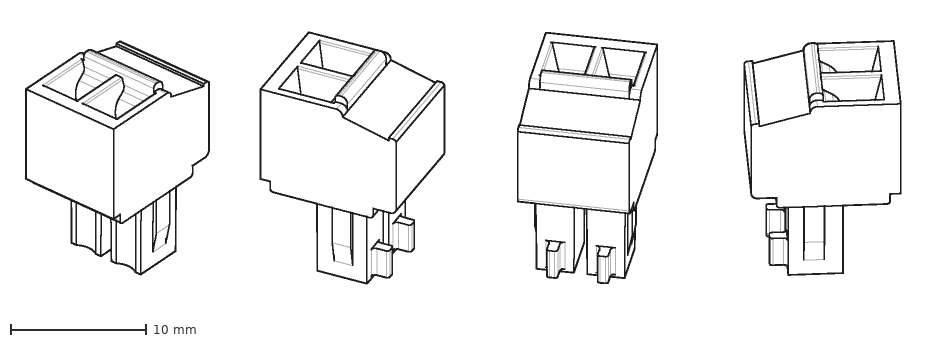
import cadquery as cq
import math


WIDTH = 8.4
DEPTH = 11.1
HEIGHT = 16.1
POLE_PITCH = 3.82
POLE_PLACES = (-POLE_PITCH / 2, POLE_PITCH / 2)

LEG_LENGTH = 6.6
STEP_HEIGHT = 0.89
SHOULDER_Z = LEG_LENGTH + STEP_HEIGHT
FRONT_STEP_Y = 0.79
BACK_STEP_Y = 9.21
STEP_ROUND = 0.27
TOP_Z = 15.47
TOP_END_Y = 6.71
SLOPE_TOP_Z = 14.91
SLOPE_END_Y = 10.48
SLOPE_END_Z = 13.9
LIP_Z = 14.12
LIP_ROUND_DEPTH = 0.3
LIP_ROUND_HEIGHT = 0.2
BACK_BOTTOM_ROUND = 0.47
TOP_ROUND = 0.53

RIDGE_WIDTH = 6.71
RIDGE_FRONT_Y = 5.7
RIDGE_FRONT_ROUND = 0.29

WELL_FRONT_Y = 1.19
WELL_DEPTH = 2.67
WELL_MOUTH_WIDTH = 3.36
WELL_FLOOR_WIDTH = 1.66
WELL_EDGE_ROUND = 0.13
FRONT_WALL_LEAN = 0.53
FRONT_WALL_LEAN_DEPTH = 1.9
RAMP_ANGLE = math.radians(28)
BACK_WALL_DEPTH = 0.56
RAMP_TOP_RADIUS = 0.47
RAMP_RUN = 0.58
RAMP_NOSE_RADIUS = 1.4

LEG_FRONT_Y = 4.22
LEG_BACK_Y = 8.29
LEG_TOP_WIDTH = 2.91
LEG_BOTTOM_WIDTH = 2.82
GROOVE_WIDTH = 1.87
GROOVE_DEPTH = 0.29
SIDE_RIB_FRONT_Y = 5.62
SIDE_RIB_BACK_Y = 7.13
SIDE_RIB_REACH = 1.77
SIDE_RIB_TAPER_Z = 3.12
SIDE_RIB_END_Z = 1.25
KEY_WIDTH = 0.8
KEY_REACH = 1.3
KEY_BOTTOM_Z = 0.24
KEY_TOP_Z = 2.62
KEY_TIP_ROUND = 0.21
KEY_ROOT_ROUND = 0.3


def extrude_across(profile, width):
    """Extrude a YZ profile by width, centred on X = 0."""
    return profile.close().extrude(width / 2, both=True)


def extrude_back(profile, front_y, back_y):
    """Extrude an XZ profile, drawn at Y = 0, from front_y to back_y."""
    return profile.close().extrude(front_y - back_y).translate((0, front_y, 0))


def round_long_edge(body, y, z, radius):
    """Round the edge along X that passes nearest to (y, z)."""
    return body.edges("|X").edges(cq.NearestToPointSelector((0, y, z))).fillet(radius)


def make_shell():
    outline = (
        cq.Workplane("YZ")
        .moveTo(0, SHOULDER_Z)
        .lineTo(0, TOP_Z)
        .lineTo(TOP_END_Y, TOP_Z)
        .lineTo(TOP_END_Y, SLOPE_TOP_Z)
        .lineTo(SLOPE_END_Y, SLOPE_END_Z)
        .lineTo(SLOPE_END_Y, LIP_Z)
        .lineTo(DEPTH - LIP_ROUND_DEPTH, LIP_Z)
        .tangentArcPoint((DEPTH, LIP_Z - LIP_ROUND_HEIGHT), relative=False)
        .lineTo(DEPTH, SHOULDER_Z)
        .lineTo(BACK_STEP_Y, SHOULDER_Z)
        .lineTo(BACK_STEP_Y, LEG_LENGTH)
        .lineTo(FRONT_STEP_Y, LEG_LENGTH)
        .lineTo(FRONT_STEP_Y, SHOULDER_Z)
    )
    shell = extrude_across(outline, WIDTH)
    shell = round_long_edge(shell, TOP_END_Y, TOP_Z, TOP_ROUND)
    shell = round_long_edge(shell, DEPTH, SHOULDER_Z, BACK_BOTTOM_ROUND)
    for step_y in (FRONT_STEP_Y, BACK_STEP_Y):
        shell = round_long_edge(shell, step_y, LEG_LENGTH, STEP_ROUND)
    return shell


def make_ridge():
    outline = (
        cq.Workplane("YZ")
        .moveTo(RIDGE_FRONT_Y, SLOPE_TOP_Z)
        .lineTo(RIDGE_FRONT_Y, HEIGHT)
        .lineTo(TOP_END_Y, HEIGHT)
        .lineTo(TOP_END_Y, SLOPE_TOP_Z)
    )
    ridge = extrude_across(outline, RIDGE_WIDTH)
    ridge = round_long_edge(ridge, RIDGE_FRONT_Y, HEIGHT, RIDGE_FRONT_ROUND)
    return round_long_edge(ridge, TOP_END_Y, HEIGHT, TOP_ROUND)


def make_well():
    """The space of one wire well: a front-to-back profile limited by two sloping side walls."""
    floor_z = TOP_Z - WELL_DEPTH
    sin_ramp = math.sin(RAMP_ANGLE)
    cos_ramp = math.cos(RAMP_ANGLE)

    wall_end_z = TOP_Z - BACK_WALL_DEPTH
    ramp_top_y = RIDGE_FRONT_Y - RAMP_TOP_RADIUS * (1 - sin_ramp)
    ramp_top_z = wall_end_z - RAMP_TOP_RADIUS * cos_ramp
    ramp_end_y = ramp_top_y - RAMP_RUN
    ramp_end_z = ramp_top_z - RAMP_RUN * math.tan(RAMP_ANGLE)
    nose_y = ramp_end_y - RAMP_NOSE_RADIUS * (1 - sin_ramp)
    nose_z = ramp_end_z - RAMP_NOSE_RADIUS * cos_ramp

    undercut = RAMP_NOSE_RADIUS - math.sqrt(RAMP_NOSE_RADIUS**2 - (nose_z - floor_z) ** 2)

    front_wall_y = WELL_FRONT_Y + FRONT_WALL_LEAN
    lengthwise = (
        cq.Workplane("YZ")
        .moveTo(WELL_FRONT_Y, TOP_Z)
        .lineTo(RIDGE_FRONT_Y, TOP_Z)
        .lineTo(RIDGE_FRONT_Y, wall_end_z)
        .radiusArc((ramp_top_y, ramp_top_z), RAMP_TOP_RADIUS)
        .lineTo(ramp_end_y, ramp_end_z)
        .radiusArc((nose_y + undercut, floor_z), -RAMP_NOSE_RADIUS)
        .lineTo(front_wall_y, floor_z)
        .lineTo(front_wall_y, TOP_Z - FRONT_WALL_LEAN_DEPTH)
    )

    half_mouth = WELL_MOUTH_WIDTH / 2
    half_floor = WELL_FLOOR_WIDTH / 2
    half_throat = half_mouth - WELL_EDGE_ROUND
    throat_z = TOP_Z - WELL_EDGE_ROUND
    crosswise = (
        cq.Workplane("XZ")
        .moveTo(-half_floor, floor_z)
        .lineTo(half_floor, floor_z)
        .lineTo(half_throat, throat_z)
        .radiusArc((half_mouth, TOP_Z), WELL_EDGE_ROUND)
        .lineTo(-half_mouth, TOP_Z)
        .radiusArc((-half_throat, throat_z), WELL_EDGE_ROUND)
    )
    slot = extrude_back(crosswise, WELL_FRONT_Y, RIDGE_FRONT_Y)
    return extrude_across(lengthwise, WELL_MOUTH_WIDTH).intersect(slot)


def make_housing():
    housing = make_shell().union(make_ridge())
    well = make_well()
    for pole_x in POLE_PLACES:
        housing = housing.cut(well.translate((pole_x, 0, 0)))
    return housing


def make_leg_core():
    """Leg with slightly tapering sides and a shallow round groove down its front."""
    taper = (
        cq.Workplane("XZ")
        .moveTo(-LEG_BOTTOM_WIDTH / 2, 0)
        .lineTo(LEG_BOTTOM_WIDTH / 2, 0)
        .lineTo(LEG_TOP_WIDTH / 2, LEG_LENGTH)
        .lineTo(-LEG_TOP_WIDTH / 2, LEG_LENGTH)
    )
    groove = (
        cq.Workplane("XY")
        .moveTo(-GROOVE_WIDTH / 2, LEG_FRONT_Y)
        .threePointArc((0, LEG_FRONT_Y + GROOVE_DEPTH), (GROOVE_WIDTH / 2, LEG_FRONT_Y))
        .close()
        .extrude(LEG_LENGTH)
    )
    return extrude_back(taper, LEG_FRONT_Y, LEG_BACK_Y).cut(groove)


def make_side_rib():
    """Rib on the +X side of a leg, running out into the leg side near its lower end."""
    outline = (
        cq.Workplane("XZ")
        .moveTo(0, LEG_LENGTH)
        .lineTo(SIDE_RIB_REACH, LEG_LENGTH)
        .lineTo(SIDE_RIB_REACH, SIDE_RIB_TAPER_Z)
        .lineTo(LEG_BOTTOM_WIDTH / 2, SIDE_RIB_END_Z)
        .lineTo(0, SIDE_RIB_END_Z)
    )
    return extrude_back(outline, SIDE_RIB_FRONT_Y, SIDE_RIB_BACK_Y)


def make_key():
    """Coding key on the back of a leg, with rounded tip corners and hollow root corners."""
    half_key = KEY_WIDTH / 2
    half_root = half_key + KEY_ROOT_ROUND
    half_tip = half_key - KEY_TIP_ROUND
    tip_y = LEG_BACK_Y + KEY_REACH
    return (
        cq.Workplane("XY")
        .workplane(offset=KEY_BOTTOM_Z)
        .moveTo(-half_root, LEG_BACK_Y)
        .radiusArc((-half_key, LEG_BACK_Y + KEY_ROOT_ROUND), -KEY_ROOT_ROUND)
        .lineTo(-half_key, tip_y - KEY_TIP_ROUND)
        .radiusArc((-half_tip, tip_y), KEY_TIP_ROUND)
        .lineTo(half_tip, tip_y)
        .radiusArc((half_key, tip_y - KEY_TIP_ROUND), KEY_TIP_ROUND)
        .lineTo(half_key, LEG_BACK_Y + KEY_ROOT_ROUND)
        .radiusArc((half_root, LEG_BACK_Y), -KEY_ROOT_ROUND)
        .close()
        .extrude(KEY_TOP_Z - KEY_BOTTOM_Z)
    )


def make_leg(pole_x):
    """One plug leg, with its side rib facing away from the other leg."""
    leg = make_leg_core().union(make_side_rib()).union(make_key())
    if pole_x < 0:
        leg = leg.mirror("YZ")
    return leg.translate((pole_x, 0, 0))


housing = make_housing()
legs = [make_leg(pole_x) for pole_x in POLE_PLACES]
result = cq.Compound.makeCompound([housing.val(), *[leg.val() for leg in legs]])